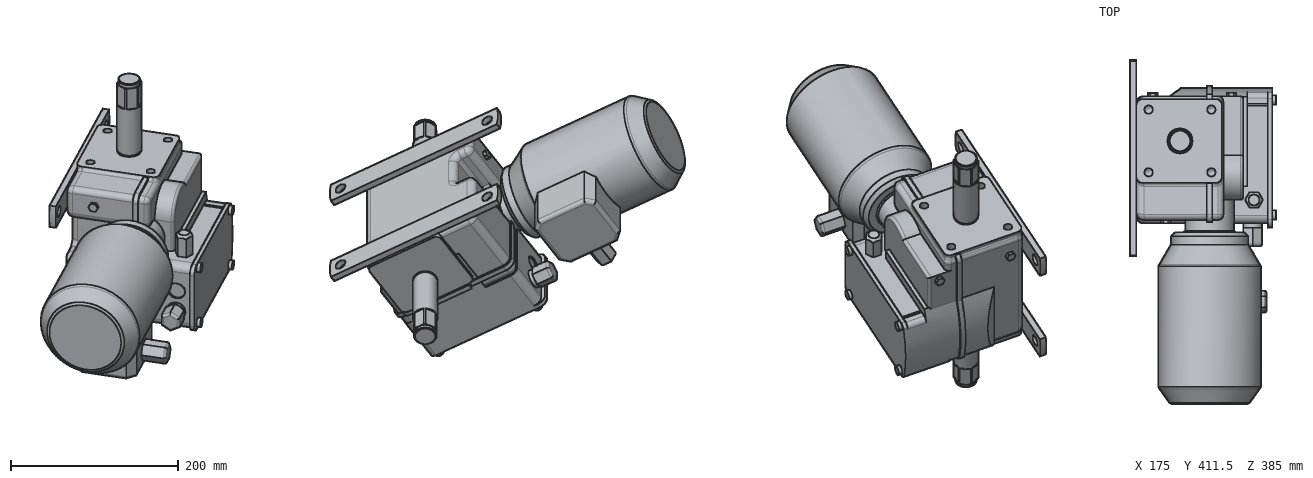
import cadquery as cq
import math


rail_length = 235.0
rail_width = 30.0
rail_thickness = 8.0
rail_back_y = 97.0
rail_offset_z = 70.0
rail_end_bulge = 1.5
rail_hole_d = 13.5
rail_hole_inset = 15.0

housing_left_x = -52.0
housing_right_x = 52.0
housing_top_z = 87.2
housing_bottom_z = -84.5
housing_back_y = 53.5
upper_front_y = -94.5
lower_front_y = -98.5
notch_wall_y = -72.5
notch_bottom_z = -3.2
notch_top_z = 43.5
top_corner_radius = 7.0
corner_radius = 9.0
notch_inner_radius = 5.0
left_edge_radius = 8.5
right_edge_radius = 7.0

rib_left_x = 32.0
rib_width = 6.5
rib_height = 2.5
crest_front_y = -42.0
crest_back_y = 35.0

pad_half = 50.0
top_pad_z = 91.5
bottom_pad_z = -88.8
pad_blend_radius = 4.0
pad_corner_radius = 7.0
pad_hole_spacing = 75.0
pad_hole_d = 10.0
pad_hole_depth = 20.0
drill_point_angle = 118.0

shaft_length = 385.0
shaft_r = 15.0
shaft_neck_r = 14.0
shaft_neck_length = 2.0
hex_flats = 27.0
hex_start_z = 158.5
tip_length = 5.5
tip_r = 13.2
tip_chamfer = 1.0

chamber_arc_r = 165.0
chamber_arc_center_y = -101.5
chamber_arc_center_z = -42.0
chamber_bottom_z = -85.0
chamber_top_z = 17.0
chamber_left_x = -12.0
chamber_flank_width = 13.5
chamber_right_x = 80.5
chamber_front_y = -54.0
chamber_bottom_radius = 10.0

dome_left_x = 45.0
dome_right_x = 75.5
dome_r = 32.0
dome_center_y = -38.5
dome_center_z = 45.5
dome_shelf_z = 69.0
dome_edge_radius = 3.7

box_left_x = 50.0
box_right_x = 105.0
box_top_z = 4.6
box_front_radius = 10.0
box_back_radius = 7.0
groove_y = 42.2
groove_width = 2.2
groove_depth = 1.0
lid_top_z = 5.6
lid_thickness = 5.5
lid_overhang = 5.0
lid_screw_d = 11.5
lid_screw_height = 4.5
lid_screw_ys = (-88.5, 49.0)
lid_screw_zs = (-77.5, -1.0)
socket_x = 87.0
socket_z = -32.0
socket_d = 20.7
socket_depth = 2.0

gland_flats = 22.7
gland_length = 27.5
gland_collar_length = 5.0
gland_round = 3.0
box_gland_x = 86.8
box_gland_z = -59.7
plug_x = 88.4
plug_y = -70.4
plug_height = 29.0
plug_flats = 18.5
plug_top_chamfer = 4.2

bolt_head_flats = 10.2
bolt_head_height = 3.8
front_bolt_x = -16.8
front_bolt_z = 66.5
back_bolt_xs = (-32.5, 61.5)
back_bolt_z = 60.0

motor_x = 35.3
motor_z = 20.4
motor_neck_r = 29.3
motor_neck_foot = 1.8
neck_web_setback = 2.0
motor_r = 61.5
motor_shoulder_r = 60.0
motor_flange_r = 46.3
motor_flange_y = -109.0
motor_flange_end_y = -123.8
motor_flange_chamfer = 5.0
motor_shoulder_y = -147.3
motor_body_y = -149.8
motor_body_end_y = -293.5
motor_cap_y = -296.0
motor_cap_end_y = -313.0
motor_end_y = -314.5
motor_cap_r = 48.0
motor_end_r = 44.5

terminal_width = 76.5
terminal_front_y = -234.3
terminal_back_y = -148.6
terminal_bottom_z = -81.5
terminal_side_chamfer = 10.3
terminal_bottom_radius = 5.0
terminal_gland_y = -192.0
terminal_gland_z = -61.8
terminal_gland_length = 30.0


def block(x_min, x_max, y_min, y_max, z_min, z_max):
    """Box given by its limits along each axis."""
    return cq.Workplane("XY").box(
        x_max - x_min, y_max - y_min, z_max - z_min, centered=False
    ).translate((x_min, y_min, z_min))


def side_plane(x):
    """Plane across X: local x is world Y and local y is world Z."""
    return cq.Workplane("YZ", origin=(x, 0, 0))


def hexagon(flats, length):
    """Hexagonal bar along +Z with two corners on the X axis."""
    return cq.Workplane("XY").polygon(6, flats / math.cos(math.pi / 6)).extrude(length)


def gland(length, collar_length):
    """Cable gland along +Z: a round collar, then a hexagon with a rounded tip."""
    collar = cq.Workplane("XY").circle(gland_flats / 2).extrude(collar_length)
    hex_part = hexagon(gland_flats, length - collar_length).faces(">Z").edges().fillet(gland_round)
    return collar.union(hex_part.translate((0, 0, collar_length)))


def face_front(shape):
    """Turn a shape built along +Z to point along -Y."""
    return shape.rotate((0, 0, 0), (1, 0, 0), 90)


def face_right(shape):
    """Turn a shape built along +Z to point along +X."""
    return shape.rotate((0, 0, 0), (0, 1, 0), 90)


def housing_outline(workplane):
    """Side outline of the housing, with the notch in front for the motor neck."""
    return workplane.polyline([
        (housing_back_y, housing_bottom_z),
        (housing_back_y, housing_top_z),
        (upper_front_y, housing_top_z),
        (upper_front_y, notch_top_z),
        (notch_wall_y, notch_top_z),
        (notch_wall_y, notch_bottom_z),
        (lower_front_y, notch_bottom_z),
        (lower_front_y, housing_bottom_z),
    ]).close()


def rounded_along_x(shape):
    """Round the edges along X: small radius inside the notch, large elsewhere."""
    notch_edges = cq.selectors.BoxSelector(
        (-200, notch_wall_y - 1, notch_bottom_z - 1), (200, notch_wall_y + 1, notch_top_z + 1)
    )
    shape = shape.edges("|X").edges(notch_edges).fillet(notch_inner_radius)
    shape = shape.edges("|X and >Z").fillet(top_corner_radius)
    shape = shape.edges("|X and <Z").fillet(corner_radius)
    lips = cq.selectors.BoxSelector(
        (-200, lower_front_y - 1, notch_bottom_z - 1), (200, upper_front_y + 1, notch_top_z + 1)
    )
    return shape.edges("|X").edges(lips).fillet(corner_radius)


def make_main_casting():
    width = housing_right_x - housing_left_x
    casting = rounded_along_x(housing_outline(side_plane(housing_left_x)).extrude(width))
    casting = casting.faces("<X").edges().fillet(left_edge_radius)
    return casting.faces(">X").edges().fillet(right_edge_radius)


def make_parting_rib():
    rib = rounded_along_x(housing_outline(side_plane(rib_left_x)).extrude(rib_width))
    outline = rib.faces("<X").wires().toPending().offset2D(rib_height)
    rib = outline.extrude(rib_width)
    crest = block(
        rib_left_x, rib_left_x + rib_width, crest_front_y, crest_back_y,
        bottom_pad_z - rib_height, housing_bottom_z,
    )
    return rib.union(crest)


def make_pad(right_x, z_min, z_max):
    """Square pad around the shaft, reaching the left face of the housing."""
    pad = block(housing_left_x, right_x, -pad_half, pad_half, z_min, z_max)
    return pad.edges("|Z").fillet(pad_corner_radius)


def make_padded_casting():
    top_pad = make_pad(pad_half, housing_top_z - corner_radius, top_pad_z)
    bottom_pad = make_pad(rib_left_x, bottom_pad_z, housing_bottom_z + corner_radius)
    casting = make_main_casting().union(top_pad).union(bottom_pad)
    pad_front_foot = cq.selectors.BoxSelector(
        (housing_left_x, -pad_half - 1, housing_top_z - 0.1),
        (housing_right_x, -pad_half + 1, housing_top_z + 0.1),
    )
    return casting.edges(pad_front_foot).fillet(pad_blend_radius)


def make_pad_hole():
    """Blind hole cutter with a drill point, its mouth at the top pad face."""
    radius = pad_hole_d / 2
    point_depth = radius / math.tan(math.radians(drill_point_angle / 2))
    profile = cq.Workplane("XZ").polyline([
        (0, 0),
        (radius, 0),
        (radius, -pad_hole_depth),
        (0, -pad_hole_depth - point_depth),
    ])
    return profile.close().revolve(360, (0, 0), (0, 1)).translate((0, 0, top_pad_z))


def arc_back_y(z, growth=0.0):
    """Y of the curved back wall at height z."""
    return chamber_arc_center_y + math.sqrt(
        (chamber_arc_r + growth) ** 2 - (z - chamber_arc_center_z) ** 2
    )


def arc_backed_slab(x_min, x_max, front_y, bottom_z, top_z, growth=0.0):
    """Slab across X whose back follows the chamber arc."""
    crown_y = chamber_arc_center_y + chamber_arc_r + growth
    return (
        side_plane(x_min)
        .moveTo(front_y, bottom_z)
        .lineTo(arc_back_y(bottom_z, growth), bottom_z)
        .threePointArc((crown_y, chamber_arc_center_z), (arc_back_y(top_z, growth), top_z))
        .lineTo(front_y, top_z)
        .close()
        .extrude(x_max - x_min)
    )


def round_back_edge(slab, level, radius):
    """Round the back edge along X at the top (">Z") or bottom ("<Z") of a slab."""
    return slab.edges("|X").edges(level).edges(">Y").fillet(radius)


def make_gear_chamber():
    chamber = arc_backed_slab(
        chamber_left_x, chamber_right_x, chamber_front_y, chamber_bottom_z, chamber_top_z
    )
    chamber = round_back_edge(chamber, "<Z", chamber_bottom_radius)
    crown_y = chamber_arc_center_y + chamber_arc_r
    flank = (
        cq.Workplane("XY", origin=(0, 0, chamber_bottom_z))
        .polyline([
            (chamber_left_x, housing_back_y),
            (chamber_left_x, crown_y),
            (chamber_left_x + chamber_flank_width, crown_y),
        ])
        .close()
        .extrude(chamber_top_z - chamber_bottom_z)
    )
    return chamber.cut(flank)


def make_chamber_rib():
    top_z = chamber_top_z
    rib = arc_backed_slab(
        rib_left_x, rib_left_x + rib_width, chamber_front_y, chamber_bottom_z, top_z, rib_height
    )
    return round_back_edge(rib, "<Z", chamber_bottom_radius)


def make_worm_dome():
    shelf_y = dome_center_y + math.sqrt(dome_r ** 2 - (dome_shelf_z - dome_center_z) ** 2)
    dome = (
        side_plane(dome_left_x)
        .moveTo(housing_back_y, 0)
        .lineTo(housing_back_y, dome_shelf_z)
        .lineTo(shelf_y, dome_shelf_z)
        .threePointArc(
            (dome_center_y, dome_center_z + dome_r),
            (dome_center_y - dome_r, dome_center_z),
        )
        .lineTo(dome_center_y - dome_r, 0)
        .close()
        .extrude(dome_right_x - dome_left_x)
    )
    return dome.faces(">X").edges("not <Z").fillet(dome_edge_radius)


def make_switch_box():
    def profile(x_min, x_max, front_y, top_z):
        slab = arc_backed_slab(x_min, x_max, front_y, chamber_bottom_z, top_z)
        slab = slab.edges("|X").edges("<Y").fillet(box_front_radius)
        slab = round_back_edge(slab, ">Z", box_back_radius)
        return round_back_edge(slab, "<Z", box_back_radius)

    lid_face_x = box_right_x + lid_thickness
    box = profile(box_left_x, box_right_x, lower_front_y, box_top_z)
    box = box.union(profile(box_right_x, lid_face_x, lower_front_y - lid_overhang, lid_top_z))

    groove = block(
        chamber_right_x, box_right_x, groove_y, groove_y + groove_width,
        box_top_z - groove_depth, box_top_z,
    )
    box = box.cut(groove)

    for y in lid_screw_ys:
        for z in lid_screw_zs:
            screw = side_plane(lid_face_x).center(y, z).circle(lid_screw_d / 2).extrude(lid_screw_height)
            box = box.union(screw)

    socket = cq.Workplane("XY").circle(socket_d / 2).extrude(socket_depth)
    socket = face_front(socket).translate((socket_x, lower_front_y + socket_depth, socket_z))
    box = box.cut(socket)

    box_gland = gland(gland_length, gland_collar_length).rotate((0, 0, 0), (0, 0, 1), 90)
    box = box.union(face_front(box_gland).translate((box_gland_x, lower_front_y, box_gland_z)))

    corner_r = plug_flats / 2 / math.cos(math.pi / 6)
    plug_envelope = cq.Workplane("XY").circle(corner_r).extrude(plug_height)
    plug_envelope = plug_envelope.faces(">Z").edges().chamfer(plug_top_chamfer)
    plug = hexagon(plug_flats, plug_height).intersect(plug_envelope)
    return box.union(plug.translate((plug_x, plug_y, box_top_z)))


def make_motor():
    profile = [
        (0, notch_wall_y + corner_radius),
        (motor_neck_r, notch_wall_y + corner_radius),
        (motor_neck_r, motor_flange_y + motor_neck_foot),
        (motor_neck_r + motor_neck_foot, motor_flange_y),
        (motor_flange_r - motor_flange_chamfer, motor_flange_y),
        (motor_flange_r, motor_flange_y - motor_flange_chamfer),
        (motor_flange_r, motor_flange_end_y),
        (motor_shoulder_r, motor_shoulder_y),
        (motor_r, motor_body_y),
        (motor_r, motor_body_end_y),
        (motor_shoulder_r, motor_cap_y),
        (motor_cap_r, motor_cap_end_y),
        (motor_end_r, motor_end_y),
        (0, motor_end_y),
    ]
    motor = cq.Workplane("XY").polyline(profile).close().revolve(360, (0, 0), (0, 1))
    return motor.translate((motor_x, 0, motor_z))


def make_neck_web(shelf_z, front_y):
    """Concave web along Y between a flat face of the notch and the left of the motor neck."""
    radius = notch_inner_radius
    side = math.copysign(1, motor_z - shelf_z)
    center_z = shelf_z + side * radius
    center_reach = motor_neck_r + radius
    center_x = motor_x - math.sqrt(center_reach ** 2 - (motor_z - center_z) ** 2)
    neck_share = radius / center_reach
    neck_point = (
        center_x + neck_share * (motor_x - center_x),
        center_z + neck_share * (motor_z - center_z),
    )
    half_turn = (math.atan2(neck_point[1] - center_z, neck_point[0] - center_x) - side * math.pi / 2) / 2
    middle = (
        center_x + radius * math.cos(half_turn),
        center_z + radius * math.sin(half_turn),
    )
    return (
        cq.Workplane("XZ", origin=(0, notch_wall_y, 0))
        .moveTo(center_x, shelf_z)
        .threePointArc(middle, neck_point)
        .lineTo(motor_x, motor_z)
        .lineTo(motor_x, shelf_z)
        .close()
        .extrude(notch_wall_y - front_y)
    )


def make_terminal_box():
    right_x = motor_x + terminal_width / 2
    box = block(
        motor_x - terminal_width / 2, right_x,
        terminal_front_y, terminal_back_y, terminal_bottom_z, motor_z,
    )
    box = box.edges("|Z").chamfer(terminal_side_chamfer)
    box = box.faces("<Z").edges().fillet(terminal_bottom_radius)
    side_gland = gland(terminal_gland_length + gland_collar_length, gland_collar_length)
    side_gland = face_right(side_gland.rotate((0, 0, 0), (0, 0, 1), 90))
    collar_x = right_x - gland_collar_length
    return box.union(side_gland.translate((collar_x, terminal_gland_y, terminal_gland_z)))


def make_shaft_end(pad_z):
    """Upward shaft end from the centre of the housing, past a pad face at height pad_z."""
    half = shaft_length / 2
    neck_top = pad_z + shaft_neck_length
    neck = cq.Workplane("XY").circle(shaft_neck_r).extrude(neck_top)
    body = cq.Workplane("XY", origin=(0, 0, neck_top)).circle(shaft_r).extrude(hex_start_z - neck_top)
    hex_length = half - tip_length - hex_start_z
    flats = hexagon(hex_flats, hex_length).rotate((0, 0, 0), (0, 0, 1), 90)
    flats = flats.intersect(cq.Workplane("XY").circle(shaft_r).extrude(hex_length))
    tip = cq.Workplane("XY", origin=(0, 0, half - tip_length)).circle(tip_r).extrude(tip_length)
    tip = tip.faces(">Z").edges().chamfer(tip_chamfer)
    return neck.union(body).union(flats.translate((0, 0, hex_start_z))).union(tip)


def make_bolt_heads():
    head = face_front(hexagon(bolt_head_flats, bolt_head_height))
    heads = [head.translate((front_bolt_x, upper_front_y, front_bolt_z))]
    for x in back_bolt_xs:
        heads.append(head.translate((x, housing_back_y + bolt_head_height, back_bolt_z)))
    return heads


def make_gearmotor():
    features = [
        make_parting_rib(),
        make_chamber_rib(),
        make_gear_chamber(),
        make_worm_dome(),
        make_switch_box(),
        make_motor(),
        make_neck_web(notch_bottom_z, lower_front_y + neck_web_setback),
        make_neck_web(notch_top_z, upper_front_y + corner_radius),
        make_terminal_box(),
        make_shaft_end(top_pad_z),
        make_shaft_end(-bottom_pad_z).mirror("XY"),
        *make_bolt_heads(),
    ]
    unit = make_padded_casting()
    for feature in features:
        unit = unit.union(feature)
    hole = make_pad_hole()
    for x in (-pad_hole_spacing / 2, pad_hole_spacing / 2):
        for y in (-pad_hole_spacing / 2, pad_hole_spacing / 2):
            unit = unit.cut(hole.translate((x, y, 0)))
    return unit


def make_rail(center_z):
    """Flat bar with slightly bulged ends and one hole near each end."""
    half_width = rail_width / 2
    front_y = rail_back_y - rail_length
    bar = (
        side_plane(housing_left_x - rail_thickness)
        .moveTo(front_y + rail_end_bulge, center_z - half_width)
        .lineTo(rail_back_y - rail_end_bulge, center_z - half_width)
        .threePointArc((rail_back_y, center_z), (rail_back_y - rail_end_bulge, center_z + half_width))
        .lineTo(front_y + rail_end_bulge, center_z + half_width)
        .threePointArc((front_y, center_z), (front_y + rail_end_bulge, center_z - half_width))
        .close()
        .extrude(rail_thickness)
    )
    holes = (
        side_plane(housing_left_x - rail_thickness)
        .pushPoints([(front_y + rail_hole_inset, center_z), (rail_back_y - rail_hole_inset, center_z)])
        .circle(rail_hole_d / 2)
        .extrude(rail_thickness)
    )
    return bar.cut(holes)


gearmotor = make_gearmotor()
rails = [make_rail(side * rail_offset_z) for side in (1, -1)]

result = cq.Compound.makeCompound([gearmotor.val(), *[rail.val() for rail in rails]])